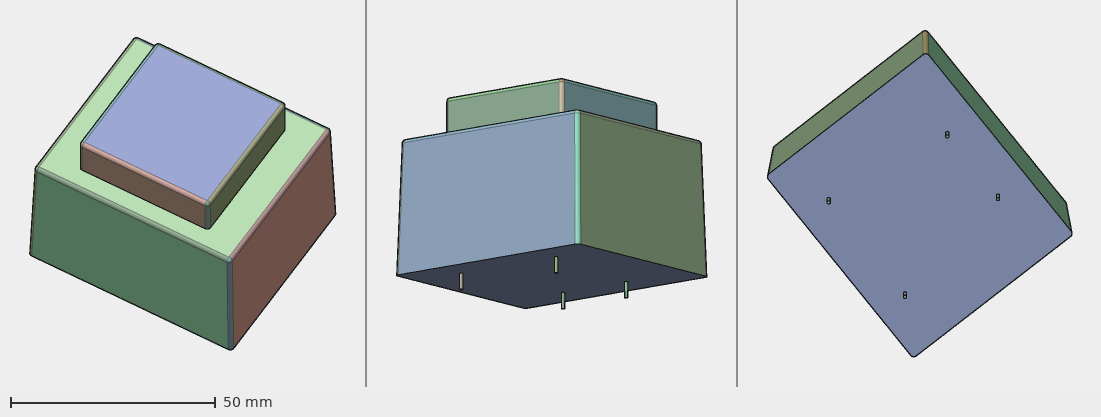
import cadquery as cq
import math

length = 58.0
width = 50.0
total_height = 48.0

block_side = 37.0
block_height = 10.05
side_inset = 1.0
edge_radius = 1.0

pin_diameter = 0.8
pin_length = 4.0
pin_row_y = 16.5
inner_pin_x = 10.0
outer_pin_x = 15.0

shoulder_height = total_height - pin_length - block_height
draft_angle = math.degrees(math.atan(side_inset / shoulder_height))


def make_base():
    """Drafted box with rounded corners and a rounded top rim; its foot lies at Z = 0."""
    base = cq.Workplane("XY").rect(length, width).extrude(shoulder_height, taper=draft_angle)
    return base.edges("not <Z").fillet(edge_radius)


def make_block():
    """Raised square block on the shoulder, rounded on its corners and top rim."""
    block = (
        cq.Workplane("XY")
        .workplane(offset=shoulder_height)
        .rect(block_side, block_side)
        .extrude(block_height)
    )
    return block.edges("not <Z").fillet(edge_radius)


def make_housing():
    return make_base().union(make_block())


def make_pin(x, y):
    """Round pin hanging from the underside of the housing."""
    return cq.Workplane("XY").center(x, y).circle(pin_diameter / 2).extrude(-pin_length)


housing = make_housing()

pin_places = [
    (side * pin_x, row_y)
    for pin_x, row_y in ((inner_pin_x, -pin_row_y), (outer_pin_x, pin_row_y))
    for side in (-1, 1)
]
pins = [make_pin(x, y) for x, y in pin_places]

result = cq.Compound.makeCompound([housing.val(), *[pin.val() for pin in pins]])